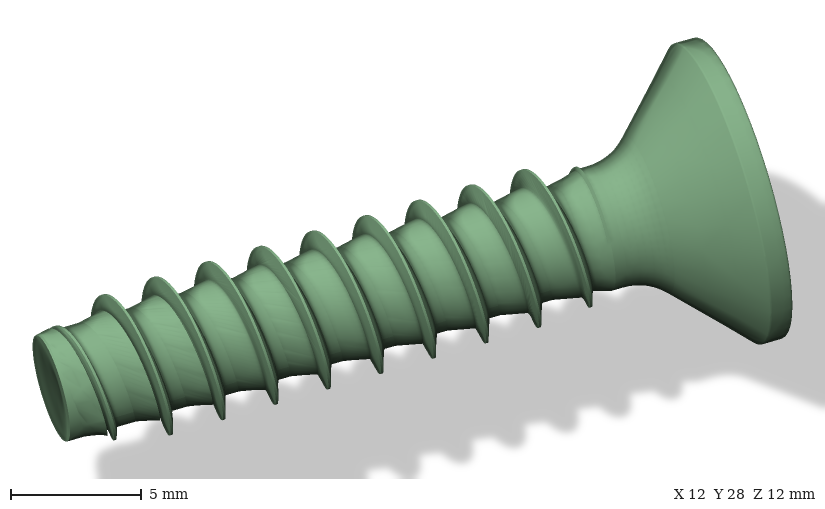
import cadquery as cq
import math


length = 28.0
head_radius = 6.0
rim_thickness = 0.9
rim_fillet = 0.1
cone_half_angle = 45.0

neck_radius = 2.42
neck_fillet = 2.4
thread_start = 5.93

core_radius = 2.12
core_taper_end = 6.96
tip_cup_depth = 0.25

pitch = 2.14
thread_radius = 3.0
crest_depth_at_x = 9.26
crest_half_width = 0.05
root_radius = 1.5
head_side_foot = (-0.40, 2.08)
head_side_kink = (-0.20, 2.57)
shoulder_start = (0.25, 2.34)
shoulder_end = (1.43, core_radius - 0.02)

run_in_end = 7.7
run_in_slope = 0.25
run_out_start = 24.77
run_out_slope = 0.30
least_tooth_height = 0.03
foot_drop_share = 0.5
points_per_turn = 16

envelope_radius = 3.3
tip_radius = 2.08
tip_cone_length = 1.7

lip_radius = 2.53
lip_width = 0.3
lip_first_angle = 40.0
lip_sweep = 140.0

lead_turns = 2
first_crest = crest_depth_at_x - lead_turns * pitch
turns = math.ceil((length - first_crest) / pitch)


def make_body():
    """Head, neck and core as one turned shape."""
    angle = math.radians(cone_half_angle)
    cone_end_radius = neck_radius + neck_fillet * (1 - math.cos(angle))
    cone_end = rim_thickness + (head_radius - cone_end_radius) / math.tan(angle)
    neck_start = cone_end + neck_fillet * math.sin(angle)
    half_angle = angle / 2
    fillet_mid = (
        neck_radius + neck_fillet * (1 - math.cos(half_angle)),
        neck_start - neck_fillet * math.sin(half_angle),
    )
    body = (
        cq.Workplane("XZ")
        .moveTo(0, 0)
        .lineTo(head_radius, 0)
        .lineTo(head_radius, rim_thickness)
        .lineTo(cone_end_radius, cone_end)
        .threePointArc(fillet_mid, (neck_radius, neck_start))
        .lineTo(neck_radius, thread_start)
        .lineTo(core_radius, core_taper_end)
        .lineTo(core_radius, length)
        .lineTo(0, length)
        .close()
        .revolve(360, (0, 0, 0), (0, 1, 0))
    )
    widest_edges = cq.selectors.RadiusNthSelector(-1)
    return body.edges(widest_edges).fillet(rim_fillet)


def tooth_drop(depth):
    """How far the tooth has sunk into the shank at a depth."""
    run_in_drop = run_in_slope * max(0, run_in_end - depth)
    run_out_drop = run_out_slope * max(0, depth - run_out_start)
    return run_in_drop + run_out_drop


def thread_section(depth):
    """Corners (radius, depth) of the thread section whose crest is at a depth."""
    drop = tooth_drop(depth)
    crest = thread_radius - drop
    shoulder_top = min(shoulder_start[1], crest - least_tooth_height)
    corners = [
        (head_side_foot[0], root_radius),
        (head_side_foot[0], head_side_foot[1] - drop * foot_drop_share),
        (head_side_kink[0], head_side_kink[1] - drop),
        (-crest_half_width, crest),
        (crest_half_width, crest),
        (shoulder_start[0], shoulder_top),
        shoulder_end,
        (shoulder_end[0], root_radius),
    ]
    return [(radius, depth + offset) for offset, radius in corners]


def place_on_turn(corner, turn):
    """Point in space of a section corner after a number of turns."""
    radius, depth = corner
    angle = 2 * math.pi * turn
    return cq.Vector(radius * math.cos(angle), radius * math.sin(angle), depth)


def make_thread():
    """Helical thread closed by ruled faces between the paths of its corners."""
    turn_steps = [i / points_per_turn for i in range(turns * points_per_turn + 1)]
    sections = [
        [place_on_turn(corner, turn) for corner in thread_section(first_crest + pitch * turn)]
        for turn in turn_steps
    ]
    paths = [cq.Edge.makeSpline(list(points)) for points in zip(*sections)]
    faces = [cq.Face.makeRuledSurface(paths[i - 1], paths[i]) for i in range(len(paths))]
    for end_section in (sections[0], sections[-1]):
        faces.append(cq.Face.makeFromWires(cq.Wire.makePolygon(end_section, close=True)))
    ridge = cq.Solid.makeSolid(cq.Shell.makeShell(faces)).fix()
    return cq.Workplane(obj=ridge)


def make_envelope():
    """Outer limit of the thread, from the neck to the tip face."""
    return (
        cq.Workplane("XZ")
        .moveTo(0, thread_start)
        .lineTo(envelope_radius, thread_start)
        .lineTo(envelope_radius, length - tip_cone_length)
        .lineTo(tip_radius, length)
        .lineTo(0, length)
        .close()
        .revolve(360, (0, 0, 0), (0, 1, 0))
    )


def make_lip():
    """Partial ring that continues the thread run-in along the neck."""
    return (
        cq.Workplane("XZ")
        .moveTo(core_radius, thread_start)
        .lineTo(lip_radius, thread_start)
        .lineTo(core_radius, thread_start + lip_width)
        .close()
        .revolve(lip_sweep, (0, 0, 0), (0, 1, 0))
        .rotate((0, 0, 0), (0, 0, 1), lip_first_angle)
    )


def make_tip_cup():
    """Shallow cone hollowed into the tip face."""
    return (
        cq.Workplane("XZ")
        .moveTo(0, length)
        .lineTo(tip_radius, length)
        .lineTo(0, length - tip_cup_depth)
        .close()
        .revolve(360, (0, 0, 0), (0, 1, 0))
    )


thread = make_thread().intersect(make_envelope())
screw = make_body().union(thread).union(make_lip()).cut(make_tip_cup())

result = screw.rotate((0, 0, 0), (1, 0, 0), 90)